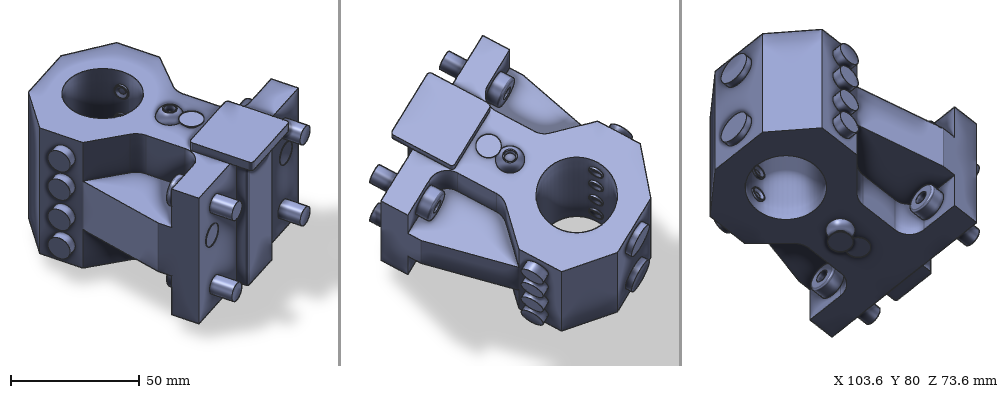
import cadquery as cq
import math


BODY_HEIGHT = 62.0
TOP = BODY_HEIGHT / 2
BORE_RADIUS = 15.8
NOSE_X = -25.8
NOSE_HALF_WIDTH = 13.1
SIDE_START_X = -10.9
SIDE_END_X = 8.3
SIDE_Y = 30.9

NECK_HALF_WIDTH = 15.0
NECK_FILLET = 8.0
FLANGE_FRONT_X = 52.9
FLANGE_THICKNESS = 12.1
FLANGE_BACK_X = FLANGE_FRONT_X + FLANGE_THICKNESS
FLANGE_HALF_WIDTH = 80.0 / 2

WEB_HEIGHT = 23.9
WEB_WIDE_X = 46.9

TOP_PLATE_WIDTH = 30.0
TOP_PLATE_FRONT_X = 46.8
TOP_PLATE_LENGTH = 28.2
TOP_PLATE_THICKNESS = 4.0
TOP_PLATE_RADIUS = 1.5
BACK_PLATE_WIDTH = 20.0
BACK_PLATE_THICKNESS = 5.3
BACK_PLATE_HEIGHT = 61.5
BACK_PLATE_RADIUS = 1.0
PART_BACK_X = TOP_PLATE_FRONT_X + TOP_PLATE_LENGTH

BOLT_Y = 27.4
BOLT_Z = 20.0
BOLT_HEAD_RADIUS = 6.5
BOLT_HEAD_HEIGHT = 6.0
BOLT_HEAD_FILLET = 0.8
BOLT_SHANK_RADIUS = 4.0
BOLT_SOCKET_RADIUS = 2.8
BOLT_SOCKET_DEPTH = 3.2

PAD_Y = 29.7
PAD_Z = 5.9
PAD_RADIUS = 5.0
PAD_HEIGHT = 0.3

CLAMP_LEVELS = (7.5, 21.4)
CLAMP_HEAD_RADIUS = 5.0
CLAMP_HEAD_HEIGHT = 4.1
CLAMP_TIP_RADIUS = 3.2
CLAMP_TIP_Y = 14.8
CUP_RIM_RADIUS = 2.7
CUP_FLOOR_RADIUS = 1.5
CUP_DEPTH = 1.0

PLUG_Z = 18.4
PLUG_RADIUS = 7.0
PLUG_HEIGHT = 2.8

BUTTON_X = 29.9
BUTTON_BASE_RADIUS = 5.7
BUTTON_RIM_RADIUS = 2.9
BUTTON_HEIGHT = 3.8
BUTTON_SOCKET_RADIUS = 2.4
BUTTON_SOCKET_DEPTH = 3.1
COUNTERSUNK_X = 39.5
COUNTERSUNK_RADIUS = 5.0
COUNTERSUNK_NECK_RADIUS = 2.6
COUNTERSUNK_RIM = 0.3
COUNTERSUNK_PROUD = 2.5
PART_HEIGHT = 73.6
LOW_SCREW_PROUD = PART_HEIGHT - BODY_HEIGHT - TOP_PLATE_THICKNESS


def prism(points, height):
    """Extrude an outline in XY by the given height, centred on Z = 0."""
    return cq.Workplane("XY").polyline(points).close().extrude(height / 2, both=True)


def mirrored(half):
    """Complete a half outline (Y >= 0) with its reflection in Y = 0."""
    return half + [(x, -y) for x, y in reversed(half)]


def rod(start, direction, radius, length):
    """Solid cylinder from a start point along a direction."""
    return cq.Workplane(cq.Solid.makeCylinder(radius, length, cq.Vector(*start), cq.Vector(*direction)))


def make_body():
    shoulder_x = SIDE_END_X + SIDE_Y - NECK_HALF_WIDTH
    outline = mirrored([
        (NOSE_X, NOSE_HALF_WIDTH),
        (SIDE_START_X, SIDE_Y),
        (SIDE_END_X, SIDE_Y),
        (shoulder_x, NECK_HALF_WIDTH),
        (FLANGE_FRONT_X, NECK_HALF_WIDTH),
        (FLANGE_FRONT_X, FLANGE_HALF_WIDTH),
        (FLANGE_BACK_X, FLANGE_HALF_WIDTH),
    ])
    body = prism(outline, BODY_HEIGHT)
    for corner_x in (shoulder_x, FLANGE_FRONT_X):
        for y in (-NECK_HALF_WIDTH, NECK_HALF_WIDTH):
            body = body.edges(cq.selectors.NearestToPointSelector((corner_x, y, 0))).fillet(NECK_FILLET)

    web = prism(mirrored([
        (SIDE_END_X, SIDE_Y),
        (WEB_WIDE_X, FLANGE_HALF_WIDTH),
        (FLANGE_BACK_X, FLANGE_HALF_WIDTH),
    ]), WEB_HEIGHT)
    bore = cq.Workplane("XY").circle(BORE_RADIUS).extrude(TOP, both=True)
    return body.union(web).cut(bore)


def make_cover_plates():
    top_plate = (
        cq.Workplane("XY", origin=(TOP_PLATE_FRONT_X + TOP_PLATE_LENGTH / 2, 0, TOP))
        .rect(TOP_PLATE_LENGTH, TOP_PLATE_WIDTH)
        .extrude(TOP_PLATE_THICKNESS)
        .edges("|Z").fillet(TOP_PLATE_RADIUS)
    )
    back_plate = (
        cq.Workplane("YZ", origin=(FLANGE_BACK_X, 0, 0))
        .rect(BACK_PLATE_WIDTH, BACK_PLATE_HEIGHT)
        .extrude(BACK_PLATE_THICKNESS)
        .edges("|Z and >X").fillet(BACK_PLATE_RADIUS)
    )
    return [top_plate, back_plate]


def make_flange_bolt(y, z):
    head_x = FLANGE_FRONT_X - BOLT_HEAD_HEIGHT
    forward = (1, 0, 0)
    head = rod((head_x, y, z), forward, BOLT_HEAD_RADIUS, BOLT_HEAD_HEIGHT)
    head = head.faces("<X").edges().fillet(BOLT_HEAD_FILLET)
    head = head.cut(rod((head_x, y, z), forward, BOLT_SOCKET_RADIUS, BOLT_SOCKET_DEPTH))
    shank = rod((FLANGE_FRONT_X, y, z), forward, BOLT_SHANK_RADIUS, PART_BACK_X - FLANGE_FRONT_X)
    return head.union(shank)


def make_flange_pad(y):
    return rod((FLANGE_BACK_X, y, PAD_Z), (1, 0, 0), PAD_RADIUS, PAD_HEIGHT)


def make_clamp_screw(side, z):
    outward = (0, side, 0)
    head = rod((0, side * SIDE_Y, z), outward, CLAMP_HEAD_RADIUS, CLAMP_HEAD_HEIGHT)
    tip_point = cq.Vector(0, side * CLAMP_TIP_Y, z)
    stem = rod(tip_point.toTuple(), outward, CLAMP_TIP_RADIUS, SIDE_Y - CLAMP_TIP_Y)
    cup = cq.Solid.makeCone(CUP_RIM_RADIUS, CUP_FLOOR_RADIUS, CUP_DEPTH, tip_point, cq.Vector(*outward))
    return stem.cut(cq.Workplane(cup)).union(head)


def make_nose_plug(z):
    return rod((NOSE_X, 0, z), (-1, 0, 0), PLUG_RADIUS, PLUG_HEIGHT)


def make_button():
    """Domed head standing on the top face, a slice of a sphere with a round socket."""
    centre_depth = (BUTTON_BASE_RADIUS**2 - BUTTON_RIM_RADIUS**2 - BUTTON_HEIGHT**2) / (2 * BUTTON_HEIGHT)
    sphere_radius = math.hypot(BUTTON_BASE_RADIUS, centre_depth)
    dome = cq.Workplane("XY", origin=(BUTTON_X, 0, TOP - centre_depth)).sphere(sphere_radius)
    slab = (
        cq.Workplane("XY", origin=(BUTTON_X, 0, TOP))
        .circle(sphere_radius)
        .extrude(BUTTON_HEIGHT)
    )
    socket = rod((BUTTON_X, 0, TOP + BUTTON_HEIGHT), (0, 0, -1), BUTTON_SOCKET_RADIUS, BUTTON_SOCKET_DEPTH)
    return dome.intersect(slab).cut(socket)


def make_countersunk(x, proud):
    """Countersunk screw whose flat head ends the given height above the top face."""
    head_top = TOP + proud
    cone_top = head_top - COUNTERSUNK_RIM
    cone_bottom = cone_top - (COUNTERSUNK_RADIUS - COUNTERSUNK_NECK_RADIUS)
    return (
        cq.Workplane("XZ")
        .polyline([
            (0, 0),
            (COUNTERSUNK_NECK_RADIUS, 0),
            (COUNTERSUNK_NECK_RADIUS, cone_bottom),
            (COUNTERSUNK_RADIUS, cone_top),
            (COUNTERSUNK_RADIUS, head_top),
            (0, head_top),
        ])
        .close()
        .revolve(360, (0, 0), (0, 1))
        .translate((x, 0, 0))
    )


pieces = make_cover_plates()
for side in (-1, 1):
    pieces.append(make_nose_plug(side * PLUG_Z))
    pieces.append(make_flange_pad(side * PAD_Y))
    for level in (-1, 1):
        pieces.append(make_flange_bolt(side * BOLT_Y, level * BOLT_Z))
        for height in CLAMP_LEVELS:
            pieces.append(make_clamp_screw(side, level * height))

button = make_button()
flat_screw = make_countersunk(COUNTERSUNK_X, COUNTERSUNK_PROUD)
pieces += [button, flat_screw]
pieces += [button.mirror("XY"), flat_screw.mirror("XY")]

pieces.append(make_countersunk(BUTTON_X, LOW_SCREW_PROUD).mirror("XY"))

result = make_body()
for piece in pieces:
    result = result.union(piece)